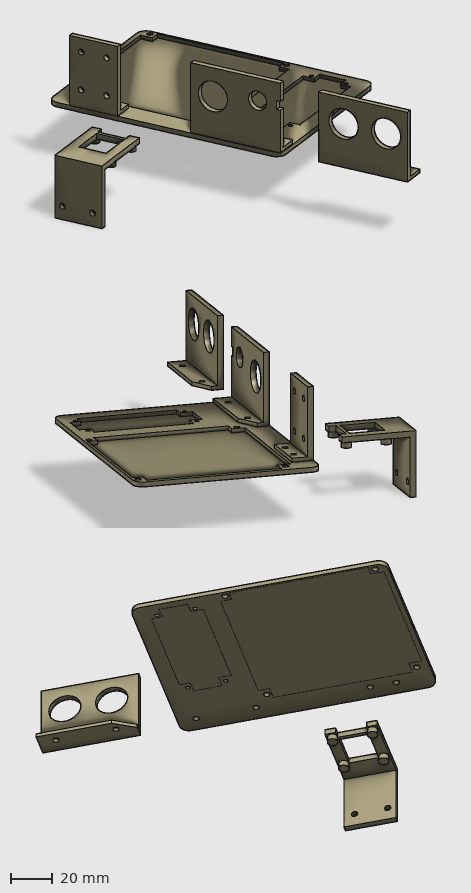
import cadquery as cq


plate_length = 128.0
plate_depth = 94.0
plate_thickness = 2.5
plate_corner_radius = 5.0
pocket_depth = 2.0

large_pocket_size = (81.7, 80.0)
large_pocket_corner = (2.7, 12.6)
large_hole_spacing = (75.0, 75.0)
large_first_hole = (6.1, 16.0)
large_hole_diameter = 3.0
large_post_left = 6.5
large_post_right = 5.6
large_post_front = 6.8
large_post_back = 5.0

small_pocket_size = (26.0, 62.2)
small_pocket_corner = (94.0, 27.5)
small_hole_spacing = (19.0, 55.3)
small_first_hole = (97.5, 30.9)
small_hole_diameter = 2.0
small_post_left = 6.2
small_post_right = 5.5
small_post_front = 6.2
small_post_back = 5.6

screw_diameter = 3.0
upright_height = 37.0
foot_thickness = 2.0
wall_thickness = 3.0

servo_left = 11.8
servo_width = 26.5
servo_foot_depth = 11.0
servo_foot_holes_x = (6.8, 19.8)
servo_foot_hole_y = 7.9
servo_wall_holes_x = (6.4, 20.4)
servo_wall_holes_z = (9.6, 29.6)

sensor_front = 0.5
sensor_foot_depth = 12.3
sensor_bevel_length = 11.0
sensor_bevel_depth = 6.3
sensor_foot_hole_spacing = 30.0
sensor_foot_hole_y = 7.6
large_window_diameter = 16.0

inner_left = 78.2
inner_width = 49.3
inner_first_foot_hole = 10.4
inner_large_window = (12.2, 21.8)
inner_small_window = (36.8, 25.0)
inner_small_window_diameter = 10.0
edge_notch_depth = 2.0
edge_notch_bottom = 22.7
edge_notch_height = 4.5

outer_right = 197.42
outer_width = 48.8
outer_first_foot_hole = 10.1
outer_windows_x = (13.6, 37.0)
outer_windows_z = 23.1

hanger_left = 36.9
hanger_width = 26.0
hanger_front = -60.31
hanger_depth = 37.5
hanger_top = 3.2
hanger_height = 33.2
hanger_thickness = 3.0
hanger_window_size = (15.0, 17.8)
hanger_window_left = 5.5
hanger_window_front = 14.1
hanger_notch_left = 5.1
hanger_notch_width = 15.5
hanger_notch_depth = 3.7
hanger_hole_x = (4.1, 20.7)
hanger_hole_height = 7.1
standoff_diameter = 5.0
standoff_height = 3.0
standoffs_x = (3.0, 23.0)
standoffs_y = (14.2, 34.4)


def block(x, y, z, dx, dy, dz):
    """Box with its lowest corner at (x, y, z)."""
    return cq.Workplane("XY").box(dx, dy, dz, centered=False).translate((x, y, z))


def upright_cylinder(x, y, z, diameter, height):
    """Cylinder rising along Z from (x, y, z)."""
    return cq.Workplane("XY").circle(diameter / 2).extrude(height).translate((x, y, z))


def wall_hole(x, z, diameter, y, depth):
    """Cutter that runs along Y from y, centred on (x, z)."""
    return cq.Workplane("XZ").center(x, z).circle(diameter / 2).extrude(-depth).translate((0, y, 0))


def hole_grid(first_hole, spacing):
    """Centres of four holes on a rectangle."""
    x, y = first_hole
    dx, dy = spacing
    return [(x, y), (x + dx, y), (x, y + dy), (x + dx, y + dy)]


def board_pocket(corner, size, left, right, front, back):
    """Cutter for a pocket that leaves a rectangular post in each corner."""
    x, y = corner
    dx, dy = size
    across = block(x, y + front, -pocket_depth, dx, dy - front - back, pocket_depth)
    along = block(x + left, y, -pocket_depth, dx - left - right, dy, pocket_depth)
    return across.union(along)


def servo_foot_holes():
    """Centres of the screw holes that the servo bracket shares with the plate."""
    return [(servo_left + x, servo_foot_hole_y) for x in servo_foot_holes_x]


def sensor_foot_holes(left, first_hole):
    """Centres of the two screw holes in a sensor bracket's foot."""
    y = sensor_front + sensor_foot_hole_y
    return [(left + first_hole + step * sensor_foot_hole_spacing, y) for step in (0, 1)]


def make_plate():
    plate = block(0, 0, -plate_thickness, plate_length, plate_depth, plate_thickness)
    plate = plate.edges("|Z").fillet(plate_corner_radius)
    plate = plate.cut(board_pocket(
        large_pocket_corner, large_pocket_size,
        large_post_left, large_post_right, large_post_front, large_post_back,
    ))
    plate = plate.cut(board_pocket(
        small_pocket_corner, small_pocket_size,
        small_post_left, small_post_right, small_post_front, small_post_back,
    ))
    screw_holes = servo_foot_holes() + sensor_foot_holes(inner_left, inner_first_foot_hole)
    hole_groups = [
        (hole_grid(large_first_hole, large_hole_spacing), large_hole_diameter),
        (hole_grid(small_first_hole, small_hole_spacing), small_hole_diameter),
        (screw_holes, screw_diameter),
    ]
    for centres, diameter in hole_groups:
        for x, y in centres:
            plate = plate.cut(upright_cylinder(x, y, -plate_thickness, diameter, plate_thickness))
    return plate


def make_servo_bracket():
    foot = block(servo_left, 0, 0, servo_width, servo_foot_depth, foot_thickness)
    wall = block(servo_left, 0, 0, servo_width, wall_thickness, upright_height)
    bracket = foot.union(wall)
    for x, y in servo_foot_holes():
        bracket = bracket.cut(upright_cylinder(x, y, 0, screw_diameter, foot_thickness))
    for x in servo_wall_holes_x:
        for z in servo_wall_holes_z:
            bracket = bracket.cut(wall_hole(servo_left + x, z, screw_diameter, 0, wall_thickness))
    return bracket


def make_sensor_bracket(left, width, first_foot_hole, windows):
    """Wall with round windows (x, z, diameter) on a foot whose back left corner is bevelled."""
    back = sensor_front + sensor_foot_depth
    foot = (
        cq.Workplane("XY")
        .moveTo(left, sensor_front)
        .lineTo(left + width, sensor_front)
        .lineTo(left + width, back)
        .lineTo(left + sensor_bevel_length, back)
        .lineTo(left, back - sensor_bevel_depth)
        .close()
        .extrude(foot_thickness)
    )
    bracket = foot.union(block(left, sensor_front, 0, width, wall_thickness, upright_height))
    for x, y in sensor_foot_holes(left, first_foot_hole):
        bracket = bracket.cut(upright_cylinder(x, y, 0, screw_diameter, foot_thickness))
    for x, z, diameter in windows:
        bracket = bracket.cut(wall_hole(left + x, z, diameter, sensor_front, wall_thickness))
    return bracket


def make_inner_sensor_bracket():
    windows = [
        (*inner_large_window, large_window_diameter),
        (*inner_small_window, inner_small_window_diameter),
    ]
    bracket = make_sensor_bracket(inner_left, inner_width, inner_first_foot_hole, windows)
    edge_notch = block(
        inner_left + inner_width - edge_notch_depth, sensor_front, edge_notch_bottom,
        edge_notch_depth, wall_thickness, edge_notch_height,
    )
    return bracket.cut(edge_notch)


def make_outer_sensor_bracket():
    windows = [(x, outer_windows_z, large_window_diameter) for x in outer_windows_x]
    return make_sensor_bracket(outer_right - outer_width, outer_width, outer_first_foot_hole, windows)


def make_hanging_bracket():
    shelf_bottom = hanger_top - hanger_thickness
    bottom = hanger_top - hanger_height
    shelf = block(hanger_left, hanger_front, shelf_bottom, hanger_width, hanger_depth, hanger_thickness)
    wall = block(hanger_left, hanger_front, bottom, hanger_width, hanger_thickness, hanger_height)
    window = block(
        hanger_left + hanger_window_left, hanger_front + hanger_window_front, shelf_bottom,
        *hanger_window_size, hanger_thickness,
    )
    notch = block(
        hanger_left + hanger_notch_left, hanger_front + hanger_depth - hanger_notch_depth, shelf_bottom,
        hanger_notch_width, hanger_notch_depth, hanger_thickness,
    )
    bracket = shelf.union(wall)
    for x in standoffs_x:
        for y in standoffs_y:
            bracket = bracket.union(upright_cylinder(
                hanger_left + x, hanger_front + y, shelf_bottom - standoff_height,
                standoff_diameter, standoff_height,
            ))
    bracket = bracket.cut(window).cut(notch)
    for x in hanger_hole_x:
        bracket = bracket.cut(wall_hole(
            hanger_left + x, bottom + hanger_hole_height, screw_diameter, hanger_front, hanger_thickness,
        ))
    return bracket


plate = make_plate()
servo_bracket = make_servo_bracket()
inner_sensor_bracket = make_inner_sensor_bracket()
outer_sensor_bracket = make_outer_sensor_bracket()
hanging_bracket = make_hanging_bracket()

result = cq.Compound.makeCompound([
    plate.val(),
    servo_bracket.val(),
    inner_sensor_bracket.val(),
    outer_sensor_bracket.val(),
    hanging_bracket.val(),
])